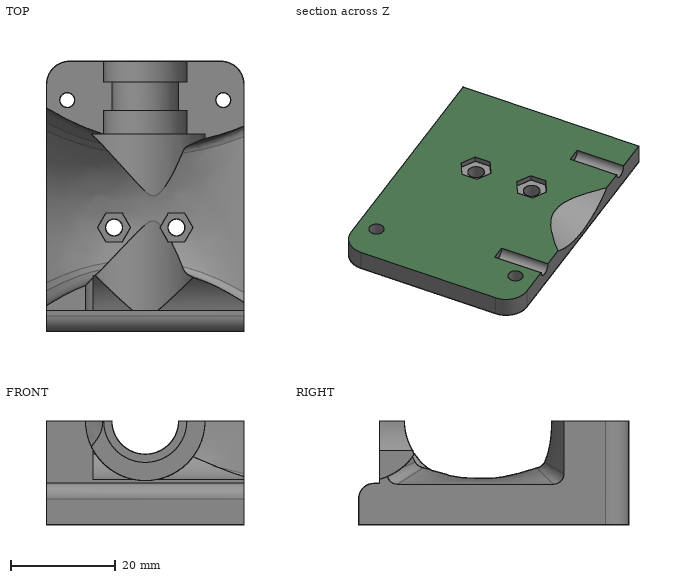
import cadquery as cq
import math

WIDTH = 38.0
LENGTH = 52.0
HEIGHT = 20.0
HALF_WIDTH = WIDTH / 2
BACK_CORNER_RADIUS = 4.5
OVERCUT = 1.0

STEP_DEPTH = 4.0
STEP_HEIGHT = 8.0
STEP_ROUND = 3.0

CLEARANCE_RADIUS = 11.5
CLEARANCE_END = 38.0
SEAT_RADIUS = 8.0
SHOULDER_RADIUS = 6.4
SHOULDER_START = 42.5
SHOULDER_END = 48.0

HOLLOW_RADIUS = 11.65
HOLLOW_AXIS_Y = 1.0
HOLLOW_START_X = -10.0

ROUND_CENTRE_Y = 24.0
ROUND_RADIUS = 19.0
ROUND_WALL_ANGLE = 31.6
ROUND_FLOOR_ANGLE = 39.8

THROAT_CENTRE_Y = 23.75
THROAT_HALF_WIDTH = 12.6
THROAT_DEPTH = 11.8
THROAT_WALL_END = (11.2, 7.4)
THROAT_FLOOR_END = (10.15, 8.5)
THROAT_WALL_BULGE = 0.4
THROAT_CORNER_BULGE = 0.1

BOX_CENTRE_Y = 22.5
BOX_HALF_WIDTH = 17.0
BOX_DEPTH = 12.2
BOX_CORNER_RADIUS = 2.0

CLAMP_HOLE_DIAMETER = 2.8
CLAMP_HOLE_X = 15.0
CLAMP_HOLE_Y = 44.5
SIDE_HOLE_DIAMETER = 2.8
SIDE_HOLE_Z = 4.0
SIDE_HOLE_DEPTH = 10.0
SIDE_HOLE_YS = (8.0, 40.0)
NUT_SIDES = 6
NUT_ACROSS_FLATS = 5.5
NUT_FLOOR_Z = 3.0
NUT_HOLE_DIAMETER = 3.2
NUT_X = 6.0
NUT_Y = 20.0


def make_block():
    """Stepped side profile across the full width, with rounded back corners."""
    round_mid = STEP_ROUND * (1 - math.sqrt(0.5))
    return (
        cq.Workplane("YZ", origin=(-HALF_WIDTH, 0, 0))
        .lineTo(LENGTH, 0)
        .lineTo(LENGTH, HEIGHT)
        .lineTo(STEP_DEPTH, HEIGHT)
        .lineTo(STEP_DEPTH, STEP_HEIGHT)
        .lineTo(STEP_ROUND, STEP_HEIGHT)
        .threePointArc((round_mid, STEP_HEIGHT - round_mid), (0, STEP_HEIGHT - STEP_ROUND))
        .close()
        .extrude(WIDTH)
        .edges("|Z and >Y")
        .fillet(BACK_CORNER_RADIUS)
    )


def cylinder_along_y(radius, start, end):
    """Cylinder on the top centre line between two Y positions."""
    return cq.Workplane("XZ", origin=(0, start, HEIGHT)).circle(radius).extrude(start - end)


def polar(radius, angle):
    """Half width and depth of a point on a circle, at an angle below the top face."""
    return (radius * math.cos(math.radians(angle)), radius * math.sin(math.radians(angle)))


def midpoint(start, end, bulge=0.0):
    """Point halfway between two points, moved outwards (wider and deeper) by the bulge."""
    across = end[0] - start[0]
    down = end[1] - start[1]
    span = math.hypot(across, down)
    return (
        (start[0] + end[0]) / 2 + bulge * down / span,
        (start[1] + end[1]) / 2 - bulge * across / span,
    )


def channel_section(x, centre_y, wall, corner, floor):
    """Closed wire across the channel: floor, two corner rounds, two walls and the open top.

    wall, corner and floor each list half width and depth points: wall and corner by start,
    middle and end, floor by start and middle. The other half is mirrored.
    """

    def place(point, side):
        return cq.Vector(x, centre_y + side * point[0], HEIGHT - point[1])

    def arc(points, side):
        return cq.Edge.makeThreePointArc(*[place(point, side) for point in points])

    floor_start, floor_middle = floor
    floor_ends = [place(floor_start, 1), place(floor_start, -1)]
    if floor_middle[1] > floor_start[1]:
        floor_edge = cq.Edge.makeThreePointArc(floor_ends[0], place(floor_middle, 1), floor_ends[1])
    else:
        floor_edge = cq.Edge.makeLine(*floor_ends)

    def wall_edge(side):
        start, middle, end = wall
        if start[0] == end[0]:
            return cq.Edge.makeLine(place(start, side), place(end, side))
        return arc((start, middle, end), side)

    edges = [
        wall_edge(1),
        arc(corner, 1),
        floor_edge,
        arc(corner[::-1], -1),
        wall_edge(-1),
        cq.Edge.makeLine(place(wall[0], -1), place(wall[0], 1)),
    ]
    return cq.Wire.assembleEdges(edges)


def round_section():
    """Half circle at the left face, split into wall, corner and floor arcs."""

    def on_circle(angle):
        return polar(ROUND_RADIUS, angle)

    corner_angle = (ROUND_WALL_ANGLE + ROUND_FLOOR_ANGLE) / 2
    wall = [on_circle(0), on_circle(ROUND_WALL_ANGLE / 2), on_circle(ROUND_WALL_ANGLE)]
    corner = [wall[-1], on_circle(corner_angle), on_circle(ROUND_FLOOR_ANGLE)]
    floor = [corner[-1], (0, ROUND_RADIUS)]
    return channel_section(-HALF_WIDTH, ROUND_CENTRE_Y, wall, corner, floor)


def throat_section():
    """Narrow rounded section in the middle of the part."""
    top = (THROAT_HALF_WIDTH, 0)
    wall = [top, midpoint(top, THROAT_WALL_END, THROAT_WALL_BULGE), THROAT_WALL_END]
    corner_middle = midpoint(THROAT_WALL_END, THROAT_FLOOR_END, THROAT_CORNER_BULGE)
    corner = [THROAT_WALL_END, corner_middle, THROAT_FLOOR_END]
    floor = [THROAT_FLOOR_END, (0, THROAT_DEPTH)]
    return channel_section(0, THROAT_CENTRE_Y, wall, corner, floor)


def box_section():
    """Rectangle with rounded lower corners at the right face."""
    top = (BOX_HALF_WIDTH, 0)
    wall_end = (BOX_HALF_WIDTH, BOX_DEPTH - BOX_CORNER_RADIUS)
    floor_start = (BOX_HALF_WIDTH - BOX_CORNER_RADIUS, BOX_DEPTH)
    reach = BOX_CORNER_RADIUS * math.sqrt(0.5)
    corner_middle = (floor_start[0] + reach, wall_end[1] + reach)
    wall = [top, midpoint(top, wall_end), wall_end]
    corner = [wall_end, corner_middle, floor_start]
    floor = [floor_start, (0, BOX_DEPTH)]
    return channel_section(HALF_WIDTH, BOX_CENTRE_Y, wall, corner, floor)


def make_channel():
    """Smooth loft through the round, throat and rectangular sections."""
    return cq.Solid.makeLoft([round_section(), throat_section(), box_section()])


def make_bearing_seats():
    """Clearance cylinder, two bearing seats and the narrower shoulder between them."""
    clearance = cylinder_along_y(CLEARANCE_RADIUS, -OVERCUT, CLEARANCE_END)
    front_seat = cylinder_along_y(SEAT_RADIUS, CLEARANCE_END, SHOULDER_START)
    shoulder = cylinder_along_y(SHOULDER_RADIUS, SHOULDER_START, SHOULDER_END)
    back_seat = cylinder_along_y(SEAT_RADIUS, SHOULDER_END, LENGTH + OVERCUT)
    return clearance.union(front_seat).union(shoulder).union(back_seat)


def make_front_hollow():
    """Cylinder along X that hollows the front wall from its left limit to the right face."""
    return (
        cq.Workplane("YZ", origin=(HOLLOW_START_X, HOLLOW_AXIS_Y, HEIGHT))
        .circle(HOLLOW_RADIUS)
        .extrude(HALF_WIDTH + OVERCUT - HOLLOW_START_X)
    )


def make_clamp_holes():
    """Vertical through holes beside the bearing seats."""
    return (
        cq.Workplane("XY")
        .pushPoints([(-CLAMP_HOLE_X, CLAMP_HOLE_Y), (CLAMP_HOLE_X, CLAMP_HOLE_Y)])
        .circle(CLAMP_HOLE_DIAMETER / 2)
        .extrude(HEIGHT)
    )


def make_side_holes():
    """Blind holes into the left face."""
    return (
        cq.Workplane("YZ", origin=(-HALF_WIDTH, 0, 0))
        .pushPoints([(y, SIDE_HOLE_Z) for y in SIDE_HOLE_YS])
        .circle(SIDE_HOLE_DIAMETER / 2)
        .extrude(SIDE_HOLE_DEPTH)
    )


def make_nut_pockets():
    """Hexagonal nut pockets in the channel floor, each with a screw hole through the base."""
    centres = [(-NUT_X, NUT_Y), (NUT_X, NUT_Y)]
    across_corners = NUT_ACROSS_FLATS / math.cos(math.pi / NUT_SIDES)
    pockets = (
        cq.Workplane("XY", origin=(0, 0, NUT_FLOOR_Z))
        .pushPoints(centres)
        .polygon(NUT_SIDES, across_corners)
        .extrude(HEIGHT - NUT_FLOOR_Z)
    )
    holes = cq.Workplane("XY").pushPoints(centres).circle(NUT_HOLE_DIAMETER / 2).extrude(HEIGHT)
    return pockets.union(holes)


result = (
    make_block()
    .cut(cq.Workplane(make_channel()))
    .cut(make_bearing_seats())
    .cut(make_front_hollow())
    .cut(make_clamp_holes())
    .cut(make_side_holes())
    .cut(make_nut_pockets())
)